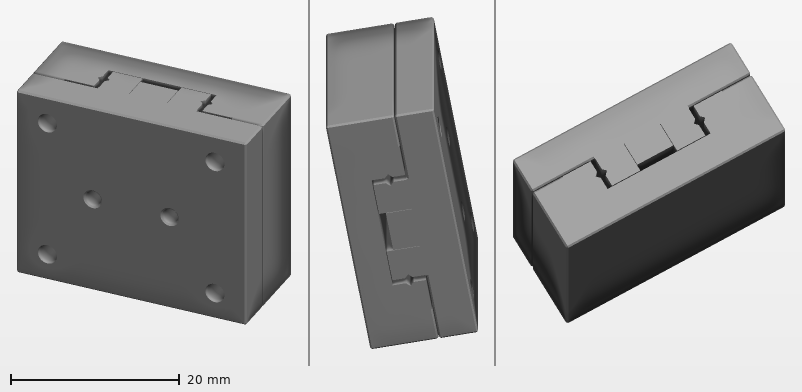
import cadquery as cq

LENGTH = 30.0
DEPTH = 13.0
HEIGHT = 25.0
EDGE_CHAMFER = 0.2

RAIL_WIDTH = 3.87
RAIL_DEPTH = 3.95
OUTER_RAIL_FACE = 10.92
RAIL_GAP = 0.65
GROOVE_DEPTH = 0.45

SEAT_Y = -1.65
CARRIAGE_OVERHANG = 0.05
BASE_RELIEF = 0.15
SEAT_MARGIN = 0.05
BOSS_DEPTH = 3.15
BOSS_CLEARANCE = 0.05
RECESS_RELIEF = 0.1

ACCESS_HOLE_DIAMETER = 2.5
ACCESS_HOLE_X = OUTER_RAIL_FACE
ACCESS_HOLE_Z = 9.0
SCREW_HOLE_DIAMETER = 2.0
SCREW_HOLE_X = 5.0
SCREW_HOLE_CHAMFER = 0.2

FRONT_Y = -DEPTH / 2
BACK_Y = DEPTH / 2
RAIL_TOP_Y = SEAT_Y + RAIL_DEPTH
RAIL_MID_Y = SEAT_Y + RAIL_DEPTH / 2
OUTER_RAIL_INSIDE = OUTER_RAIL_FACE - RAIL_WIDTH
INNER_RAIL_OUTSIDE = OUTER_RAIL_INSIDE - RAIL_GAP
INNER_RAIL_INSIDE = INNER_RAIL_OUTSIDE - RAIL_WIDTH
BASE_TOP_Y = SEAT_Y - BASE_RELIEF
CARRIAGE_FRONT_Y = SEAT_Y - CARRIAGE_OVERHANG


def block(half_width, y_low, y_high):
    """Full-height box, symmetric in X and Z, between two Y planes."""
    return cq.Workplane("XY").box(2 * half_width, y_high - y_low, HEIGHT).translate(
        (0, (y_low + y_high) / 2, 0)
    )


def chamfered_plate(y_low, y_high):
    """Full-size plate with all its outer edges chamfered."""
    return block(LENGTH / 2, y_low, y_high).edges().chamfer(EDGE_CHAMFER)


def front_cylinder(x, z, diameter, depth):
    """Cylinder running from the front face of the base towards +Y."""
    return cq.Workplane(cq.Solid.makeCylinder(
        diameter / 2, depth, cq.Vector(x, FRONT_Y, z), cq.Vector(0, 1, 0)
    ))


def countersink(x, z):
    """Cone that breaks the front edge of a screw hole."""
    hole_radius = SCREW_HOLE_DIAMETER / 2
    return cq.Workplane(cq.Solid.makeCone(
        hole_radius + SCREW_HOLE_CHAMFER, hole_radius, SCREW_HOLE_CHAMFER,
        cq.Vector(x, FRONT_Y, z), cq.Vector(0, 1, 0)
    ))


def make_base():
    """Front plate with a raised rail seat, a centre boss and the holes."""
    base = chamfered_plate(FRONT_Y, BASE_TOP_Y)
    seat_root_y = BASE_TOP_Y - EDGE_CHAMFER
    base = base.union(block(INNER_RAIL_OUTSIDE + SEAT_MARGIN, seat_root_y, SEAT_Y))
    base = base.union(block(INNER_RAIL_INSIDE - BOSS_CLEARANCE, seat_root_y, SEAT_Y + BOSS_DEPTH))
    plate_depth = SEAT_Y - FRONT_Y
    for side in (-1, 1):
        for end in (-1, 1):
            base = base.cut(front_cylinder(
                side * ACCESS_HOLE_X, end * ACCESS_HOLE_Z, ACCESS_HOLE_DIAMETER, plate_depth
            ))
        base = base.cut(front_cylinder(side * SCREW_HOLE_X, 0, SCREW_HOLE_DIAMETER, plate_depth))
        base = base.cut(countersink(side * SCREW_HOLE_X, 0))
    return base


def make_carriage():
    """Rear block with a channel for the rails, deeper between the outer pair."""
    carriage = chamfered_plate(CARRIAGE_FRONT_Y, BACK_Y)
    carriage = carriage.cut(block(OUTER_RAIL_FACE, CARRIAGE_FRONT_Y, RAIL_TOP_Y))
    return carriage.cut(block(OUTER_RAIL_INSIDE, CARRIAGE_FRONT_Y, RAIL_TOP_Y + RECESS_RELIEF))


def make_rail(plain_x, grooved_x):
    """Rail with a V groove in the side at grooved_x, cut towards plain_x."""
    inward = 1 if plain_x > grooved_x else -1
    return (
        cq.Workplane("XY")
        .workplane(offset=-HEIGHT / 2)
        .moveTo(plain_x, SEAT_Y)
        .lineTo(grooved_x, SEAT_Y)
        .lineTo(grooved_x, RAIL_MID_Y - GROOVE_DEPTH)
        .lineTo(grooved_x + inward * GROOVE_DEPTH, RAIL_MID_Y)
        .lineTo(grooved_x, RAIL_MID_Y + GROOVE_DEPTH)
        .lineTo(grooved_x, RAIL_TOP_Y)
        .lineTo(plain_x, RAIL_TOP_Y)
        .close()
        .extrude(HEIGHT)
    )


base = make_base()
carriage = make_carriage()
rails = []
for side in (-1, 1):
    rails.append(make_rail(side * OUTER_RAIL_FACE, side * OUTER_RAIL_INSIDE))
    rails.append(make_rail(side * INNER_RAIL_INSIDE, side * INNER_RAIL_OUTSIDE))

result = cq.Compound.makeCompound([base.val(), carriage.val(), *[rail.val() for rail in rails]])